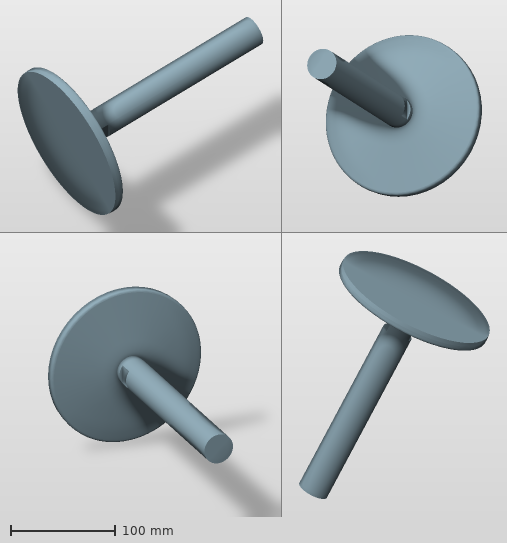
import cadquery as cq

total_length = 224.0
foot_diameter = 158.0
underside_diameter = 157.0
stem_diameter = 30.0

pad_thickness = 4.0
rim_height = 9.5
foot_height = 20.2
rim_fillet = 2.7

flats_start = 26.0
flats_length = 15.0
across_flats = 23.3

foot_radius = foot_diameter / 2
stem_radius = stem_diameter / 2


def make_pad():
    """Disc that narrows slightly towards its flat underside."""
    return (
        cq.Workplane("XZ")
        .circle(underside_diameter / 2)
        .workplane(offset=-pad_thickness)
        .circle(foot_radius)
        .loft(ruled=True)
    )


def make_plate():
    """Plate that tapers from the rim up to the stem."""
    profile = (
        cq.Workplane("XY")
        .moveTo(0, pad_thickness)
        .lineTo(foot_radius, pad_thickness)
        .lineTo(foot_radius, rim_height)
        .lineTo(stem_radius, foot_height)
        .lineTo(0, foot_height)
        .close()
    )
    plate = profile.revolve(360, (0, 0, 0), (0, 1, 0))
    rim_edge = cq.selectors.RadiusNthSelector(-1)
    return plate.faces("%CONE").edges(rim_edge).fillet(rim_fillet)


def make_stem():
    """Round stem with two opposite flats facing -X and +X."""
    stem = (
        cq.Workplane("XZ", origin=(0, foot_height, 0))
        .circle(stem_radius)
        .extrude(foot_height - total_length)
    )
    for side in (-1, 1):
        flat_cut = cq.Workplane("XY").box(
            stem_diameter, flats_length, stem_diameter, centered=(True, False, True)
        )
        cut_center = side * (across_flats + stem_diameter) / 2
        stem = stem.cut(flat_cut.translate((cut_center, flats_start, 0)))
    return stem


result = make_pad().union(make_plate()).union(make_stem())